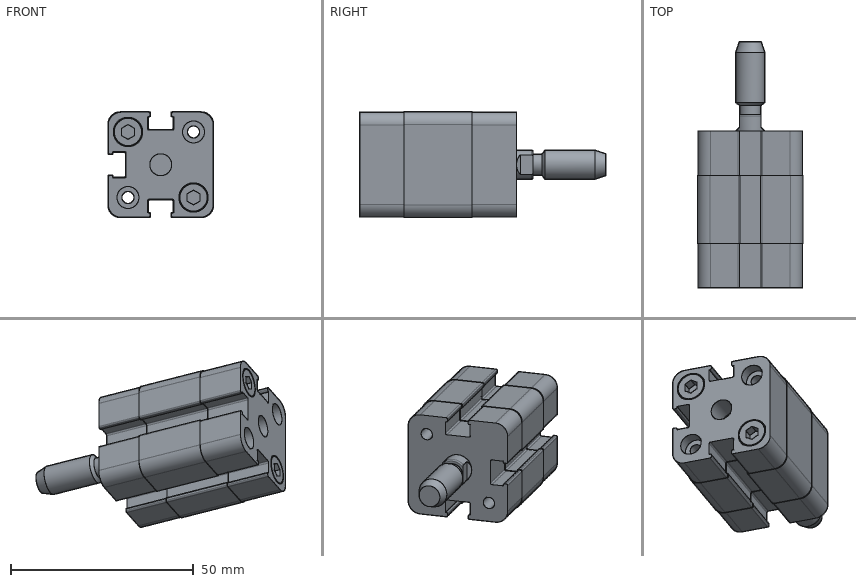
import cadquery as cq
import math


total_length = 67.5
body_length = 43.0
cap_length = 12.2
tube_length = body_length - 2 * cap_length

tube_side = 29.0
corner_radius = 3.5
cap_inset = 0.15

slot_mouth_half = 2.8
slot_half = 3.4
slot_floor = 9.65
lip_thickness = 1.4
slot_edge_radius = 0.4
cap_slot_clearance = 0.2
slot_angles = (0, 90, 180)

hole_offset = 9.0
through_diameter = 3.25
counterbore_diameter = 6.0
counterbore_depth = 3.6
screw_recess_diameter = 8.0
screw_head_diameter = 7.5
screw_recess_depth = 4.05
hex_across_flats = 3.5
hex_depth = 3.0

port_diameter = 6.0
port_depth = 8.1

rod_diameter = 8.0
rod_tip_diameter = 6.0
rod_neck_diameter = 5.8
tip_taper_length = 3.0
thread_length = 13.8
thread_run_out = 0.8
collar_length = 4.5
collar_rounding = 0.4
flat_half_width = 3.0


def section(side, y_start, length):
    """Solid between y_start and y_start + length with a rounded square outline."""
    return (
        cq.Workplane("XZ", origin=(0, y_start, 0))
        .rect(side, side)
        .extrude(-length)
        .edges("|Y")
        .fillet(corner_radius)
    )


def slot_cutter(inset, clearance, y_start, length):
    """T-slot opening to +Z; the slot walls are set back by the clearance."""
    surface = tube_side / 2 - inset
    lip_bottom = tube_side / 2 - lip_thickness
    mouth = slot_mouth_half + clearance
    half = slot_half + clearance
    floor = slot_floor - clearance
    r = slot_edge_radius
    return (
        cq.Workplane("XZ", origin=(0, y_start, 0))
        .moveTo(-mouth - r, surface)
        .radiusArc((-mouth, surface - r), r)
        .lineTo(-mouth, lip_bottom + r)
        .radiusArc((-mouth - r, lip_bottom), r)
        .lineTo(-half, lip_bottom)
        .lineTo(-half, floor + r)
        .radiusArc((-half + r, floor), -r)
        .lineTo(half - r, floor)
        .radiusArc((half, floor + r), -r)
        .lineTo(half, lip_bottom)
        .lineTo(mouth + r, lip_bottom)
        .radiusArc((mouth, lip_bottom + r), r)
        .lineTo(mouth, surface - r)
        .radiusArc((mouth + r, surface), r)
        .close()
        .extrude(-length)
    )


def slotted_section(inset, clearance, y_start, length):
    """Length of the body with its three T-slots."""
    solid = section(tube_side - 2 * inset, y_start, length)
    cutter = slot_cutter(inset, clearance, y_start, length)
    for angle in slot_angles:
        solid = solid.cut(cutter.rotate((0, 0, 0), (0, 1, 0), -angle))
    return solid


def rear_cylinder(diameter, depth, points):
    """Round bars starting at the rear face and running to +Y."""
    return cq.Workplane("XZ").pushPoints(points).circle(diameter / 2).extrude(-depth)


def screws(points):
    """Ring-shaped gaps around the screw heads, and their hexagon sockets."""
    gap = rear_cylinder(screw_recess_diameter, screw_recess_depth, points).cut(
        rear_cylinder(screw_head_diameter, screw_recess_depth, points)
    )
    hex_corner_diameter = hex_across_flats / math.cos(math.radians(30))
    for x, z in points:
        socket = (
            cq.Workplane("XZ")
            .polygon(6, hex_corner_diameter)
            .extrude(-hex_depth)
            .rotate((0, 0, 0), (0, 1, 0), 30)
            .translate((x, 0, z))
        )
        gap = gap.add(socket)
    return gap.combine()


def piston_rod():
    """Turned rod with a tapered tip, a neck and a collar with two wrench flats."""
    rod_r = rod_diameter / 2
    tip_r = rod_tip_diameter / 2
    neck_r = rod_neck_diameter / 2
    taper_end = total_length - tip_taper_length
    thread_end = taper_end - thread_length
    collar_end = body_length + collar_length
    rod_start = body_length - cap_length / 2
    rod = (
        cq.Workplane("XY")
        .moveTo(0, rod_start)
        .lineTo(rod_r, rod_start)
        .lineTo(rod_r, collar_end - collar_rounding)
        .radiusArc((rod_r - collar_rounding, collar_end), -collar_rounding)
        .lineTo(neck_r, collar_end)
        .lineTo(neck_r, thread_end - thread_run_out)
        .lineTo(rod_r, thread_end)
        .lineTo(rod_r, taper_end)
        .lineTo(tip_r, total_length)
        .lineTo(0, total_length)
        .close()
        .revolve(360, (0, 0, 0), (0, 1, 0))
    )
    slope = rod_r - flat_half_width
    flat = (
        cq.Workplane("XY")
        .moveTo(rod_r, body_length)
        .lineTo(flat_half_width, body_length + slope)
        .lineTo(flat_half_width, collar_end)
        .lineTo(rod_r, collar_end)
        .close()
        .extrude(rod_r, both=True)
    )
    return rod.cut(flat).cut(flat.mirror("YZ"))


body = slotted_section(cap_inset, cap_slot_clearance, 0, cap_length)
body = body.union(slotted_section(0, 0, cap_length, tube_length))
body = body.union(slotted_section(cap_inset, cap_slot_clearance, cap_length + tube_length, cap_length))

open_corners = [(hole_offset, hole_offset), (-hole_offset, -hole_offset)]
screw_corners = [(-hole_offset, hole_offset), (hole_offset, -hole_offset)]

body = body.cut(rear_cylinder(through_diameter, body_length, open_corners))
body = body.cut(rear_cylinder(counterbore_diameter, counterbore_depth, open_corners))
body = body.cut(rear_cylinder(port_diameter, port_depth, [(0, 0)]))
body = body.cut(screws(screw_corners))

result = body.union(piston_rod())